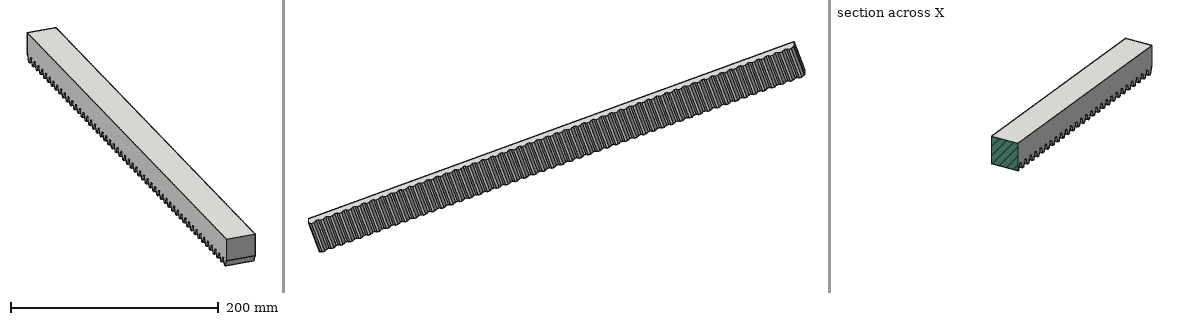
import cadquery as cq
import math

length = 499.0
width = 30.0
height = 30.0

tooth_count = 53
end_tooth_inset = 4.35
pitch = (length - 2 * end_tooth_inset) / (tooth_count - 1)
pressure_angle = 20.0
module = pitch / math.pi
addendum = module
dedendum = 1.25 * module

tip_z = -height / 2
root_z = tip_z + addendum + dedendum
flank_slope = math.tan(math.radians(pressure_angle))
tip_half_width = pitch / 4 - addendum * flank_slope
root_half_width = pitch / 4 + dedendum * flank_slope


def tooth_points(center_x):
    """Corners of one tooth, from its left root to its right root."""
    return [
        (center_x - root_half_width, root_z),
        (center_x - tip_half_width, tip_z),
        (center_x + tip_half_width, tip_z),
        (center_x + root_half_width, root_z),
    ]


def rack_outline():
    """Closed side outline of the rack, in the XZ plane."""
    points = [(-length / 2, height / 2), (-length / 2, root_z)]
    for index in range(tooth_count):
        points += tooth_points(-length / 2 + end_tooth_inset + index * pitch)
    points += [(length / 2, root_z), (length / 2, height / 2)]
    return points


result = (
    cq.Workplane("XZ")
    .polyline(rack_outline())
    .close()
    .extrude(width / 2, both=True)
)